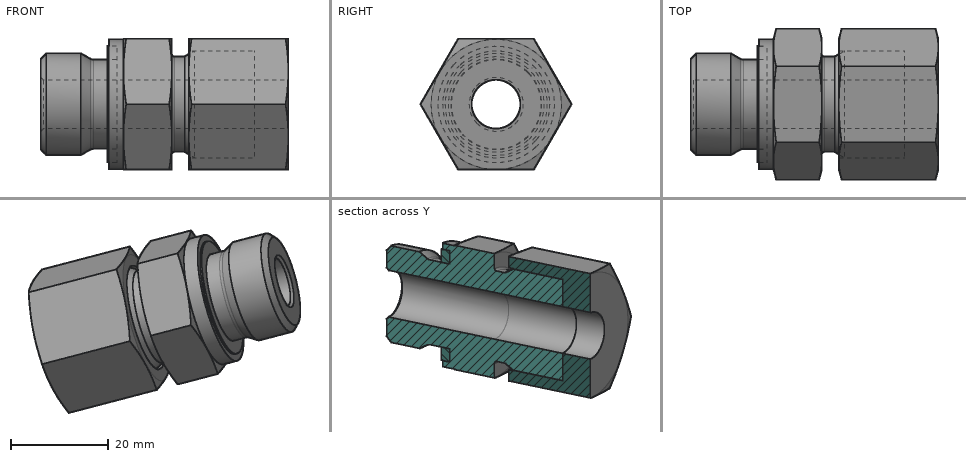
import cadquery as cq
import math


total_length = 51.0
across_flats = 27.0
bore_radius = 5.0
bore_mouth_radius = 5.55

thread_radius = 10.5
thread_chamfer = 1.15
thread_end_x = 8.25
undercut_radius = 9.25
undercut_fillet = 1.35
cone_angle = math.radians(30)

seal_front_x = 13.65
seal_radius = 12.0
seal_width = 2.05
collar_front_x = 14.0
collar_radius = 13.4
hex_front_x = 17.05
hex_back_x = 27.05
hex_chamfer_angle = math.radians(15)

neck_radius = 9.85
neck_fillet = 0.45
flare_start_x = 29.65
nut_thread_radius = 11.0
nut_length = 20.5
spigot_depth = 13.5

nut_front_x = total_length - nut_length
spigot_end_x = nut_front_x + spigot_depth
seal_back_x = seal_front_x + seal_width
bore_chamfer = bore_mouth_radius - bore_radius

radial_plane = cq.Plane(origin=(0, 0, 0), xDir=(1, 0, 0), normal=(0, 0, -1))


def turned(profile):
    """Revolve a closed radial profile about the part axis."""
    return profile.close().revolve(360, (0, 0), (1, 0))


def cylinder(start_x, end_x, radius):
    """Plain cylinder between two positions on the part axis."""
    return cq.Workplane("YZ", origin=(start_x, 0, 0)).circle(radius).extrude(end_x - start_x)


def chamfered_hexagon(start_x, end_x):
    """Hexagonal prism with corners on +Y and -Y and both ends turned to a shallow cone."""
    corner_radius = across_flats / 2 / math.cos(math.radians(30))
    chamfer_length = (corner_radius - collar_radius) * math.tan(hex_chamfer_angle)
    prism = (
        cq.Workplane("YZ", origin=(start_x, 0, 0))
        .polygon(6, 2 * corner_radius)
        .extrude(end_x - start_x)
    )
    envelope = turned(
        cq.Workplane(radial_plane)
        .moveTo(start_x, 0)
        .lineTo(start_x, collar_radius)
        .lineTo(start_x + 2 * chamfer_length, 2 * corner_radius - collar_radius)
        .lineTo(end_x - 2 * chamfer_length, 2 * corner_radius - collar_radius)
        .lineTo(end_x, collar_radius)
        .lineTo(end_x, 0)
    )
    return prism.intersect(envelope)


def make_port_end():
    """Port thread, undercut and collar, with the groove for the seal and the bore."""
    cone_end_radius = undercut_radius + undercut_fillet * (1 - math.cos(cone_angle))
    cone_end_x = thread_end_x + (thread_radius - cone_end_radius) / math.tan(cone_angle)
    undercut_x = cone_end_x + undercut_fillet * math.sin(cone_angle)
    half_angle = cone_angle / 2
    fillet_mid = (
        undercut_x - undercut_fillet * math.sin(half_angle),
        undercut_radius + undercut_fillet * (1 - math.cos(half_angle)),
    )
    return turned(
        cq.Workplane(radial_plane)
        .moveTo(0, bore_mouth_radius)
        .lineTo(0, thread_radius - thread_chamfer)
        .lineTo(thread_chamfer, thread_radius)
        .lineTo(thread_end_x, thread_radius)
        .lineTo(cone_end_x, cone_end_radius)
        .threePointArc(fillet_mid, (undercut_x, undercut_radius))
        .lineTo(seal_back_x, undercut_radius)
        .lineTo(seal_back_x, seal_radius)
        .lineTo(collar_front_x, seal_radius)
        .lineTo(collar_front_x, collar_radius)
        .lineTo(hex_front_x, collar_radius)
        .lineTo(hex_front_x, bore_radius)
        .lineTo(bore_chamfer, bore_radius)
    )


def make_nut_end():
    """Neck behind the hexagon, flaring out to the spigot inside the nut."""
    flare_end_x = flare_start_x + (nut_thread_radius - neck_radius) / math.tan(cone_angle)
    fillet_mid = (
        hex_back_x + neck_fillet * (1 - math.sqrt(0.5)),
        neck_radius + neck_fillet * (1 - math.sqrt(0.5)),
    )
    return turned(
        cq.Workplane(radial_plane)
        .moveTo(hex_back_x, bore_radius)
        .lineTo(hex_back_x, neck_radius + neck_fillet)
        .threePointArc(fillet_mid, (hex_back_x + neck_fillet, neck_radius))
        .lineTo(flare_start_x, neck_radius)
        .lineTo(flare_end_x, nut_thread_radius)
        .lineTo(spigot_end_x, nut_thread_radius)
        .lineTo(spigot_end_x, bore_radius)
    )


def make_body():
    """Stud body: port end, bored hexagon and nut end as one solid."""
    bore = cylinder(hex_front_x, hex_back_x, bore_radius)
    hexagon = chamfered_hexagon(hex_front_x, hex_back_x).cut(bore)
    return make_port_end().union(hexagon).union(make_nut_end())


def make_seal():
    """Seal ring in the collar groove, standing slightly proud of the collar face."""
    hole = cylinder(seal_front_x, seal_back_x, undercut_radius)
    return cylinder(seal_front_x, seal_back_x, seal_radius).cut(hole)


def make_nut():
    """Tube nut with a recess for the body spigot and the through bore."""
    recess = cylinder(nut_front_x, spigot_end_x, nut_thread_radius)
    bore = cylinder(spigot_end_x, total_length, bore_radius)
    return chamfered_hexagon(nut_front_x, total_length).cut(recess).cut(bore)


body = make_body()
seal = make_seal()
nut = make_nut()

result = cq.Compound.makeCompound([body.val(), seal.val(), nut.val()])